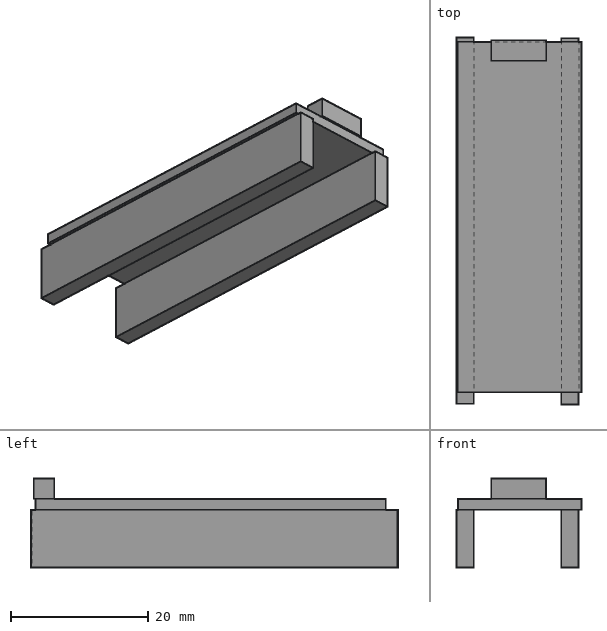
import cadquery as cq

plate_width = 18.0
plate_length = 51.0
plate_thickness = 1.6

pin_pitch = 2.54
pins_per_rail = 21
rail_width = pin_pitch
rail_height = 8.4
rail_length = pins_per_rail * pin_pitch
row_pitches = 6
rail_spacing = row_pitches * pin_pitch
rail_count = 2
rail_stagger = 0.12
left_overhang = 0.22
back_overhang = 0.66

block_width = 8.0
block_length = 3.0
block_height = 3.0
block_offset = -0.15
block_overhang = 0.25

plate_left = -plate_width / 2
plate_back = plate_length / 2


def box_at(left, back, bottom, width, length, height):
    """Box given by its -X face, +Y face and -Z face."""
    corner = (left, back - length, bottom)
    return cq.Workplane("XY").box(width, length, height, centered=False).translate(corner)


def make_plate():
    return box_at(plate_left, plate_back, 0, plate_width, plate_length, plate_thickness)


def make_rail(index):
    left = plate_left - left_overhang + index * rail_spacing
    back = plate_back + back_overhang - index * rail_stagger
    return box_at(left, back, -rail_height, rail_width, rail_length, rail_height)


def make_block():
    left = block_offset - block_width / 2
    back = plate_back + block_overhang
    return box_at(left, back, plate_thickness, block_width, block_length, block_height)


result = make_plate().union(make_block())
for rail_index in range(rail_count):
    result = result.union(make_rail(rail_index))